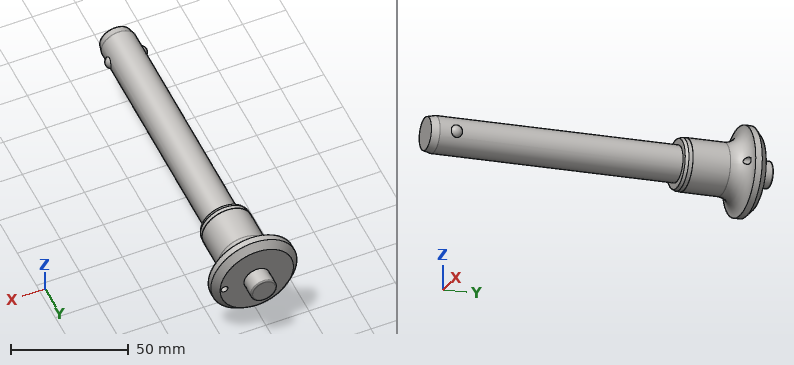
import cadquery as cq

total_length = 156.2
tip_y = -total_length / 2
button_end_y = total_length / 2

button_radius = 6.0
button_length = 7.7
button_edge_round = 0.6

cap_radius = 20.0
cap_chamfer = 3.0
rim_width = 3.0
collar_radius = 11.7
flare_radius = cap_radius - collar_radius
collar_length = 17.0
collar_ring_length = 1.9
collar_ring_step = 0.2
collar_end_length = 1.4
collar_end_taper = 0.6

shank_diameter = 16.4
shank_radius = shank_diameter / 2
tip_taper_length = 3.6
tip_radius = 7.3

ball_radius = 3.0
ball_reach = 9.7
ball_from_tip = 11.2

lanyard_hole_diameter = 3.1
lanyard_hole_offset = 15.0

cap_top_y = button_end_y - button_length
rim_top_y = cap_top_y - cap_chamfer
rim_bottom_y = rim_top_y - rim_width
neck_y = rim_bottom_y - flare_radius
ring_top_y = neck_y - collar_length
ring_bottom_y = ring_top_y - collar_ring_length
collar_end_y = ring_bottom_y - collar_end_length


def make_handle():
    """Revolved cap, concave flare and collar."""
    ring_radius = collar_radius - collar_ring_step
    profile = (
        cq.Workplane("XY")
        .moveTo(0, cap_top_y)
        .lineTo(cap_radius - cap_chamfer, cap_top_y)
        .lineTo(cap_radius, rim_top_y)
        .lineTo(cap_radius, rim_bottom_y)
        .radiusArc((collar_radius, neck_y), -flare_radius)
        .lineTo(collar_radius, ring_top_y)
        .lineTo(ring_radius, ring_top_y)
        .lineTo(ring_radius, ring_bottom_y)
        .lineTo(ring_radius - collar_end_taper, collar_end_y)
        .lineTo(0, collar_end_y)
        .close()
    )
    return profile.revolve(360, (0, 0, 0), (0, 1, 0))


def make_shank():
    """Revolved shank with a tapered tip, reaching up into the handle."""
    profile = (
        cq.Workplane("XY")
        .moveTo(0, tip_y)
        .lineTo(tip_radius, tip_y)
        .lineTo(shank_radius, tip_y + tip_taper_length)
        .lineTo(shank_radius, neck_y)
        .lineTo(0, neck_y)
        .close()
    )
    return profile.revolve(360, (0, 0, 0), (0, 1, 0))


def make_button():
    """Push button standing on the cap, its outer edge rounded."""
    return (
        cq.Workplane("XZ", origin=(0, button_end_y, 0))
        .circle(button_radius)
        .extrude(button_end_y - neck_y)
        .faces(">Y")
        .edges()
        .fillet(button_edge_round)
    )


def make_ball(side):
    """Locking ball on the +X (side = 1) or -X (side = -1) flank."""
    center_x = side * (ball_reach - ball_radius)
    center_y = tip_y + ball_from_tip
    return cq.Workplane("XY").sphere(ball_radius).translate((center_x, center_y, 0))


def make_lanyard_hole():
    """Cutter parallel to the pin axis, passing through the whole handle."""
    return (
        cq.Workplane("XZ", origin=(lanyard_hole_offset, button_end_y, 0))
        .circle(lanyard_hole_diameter / 2)
        .extrude(button_end_y - collar_end_y)
    )


result = make_handle().cut(make_lanyard_hole())
result = result.union(make_shank()).union(make_button())
for ball_side in (-1, 1):
    result = result.union(make_ball(ball_side))